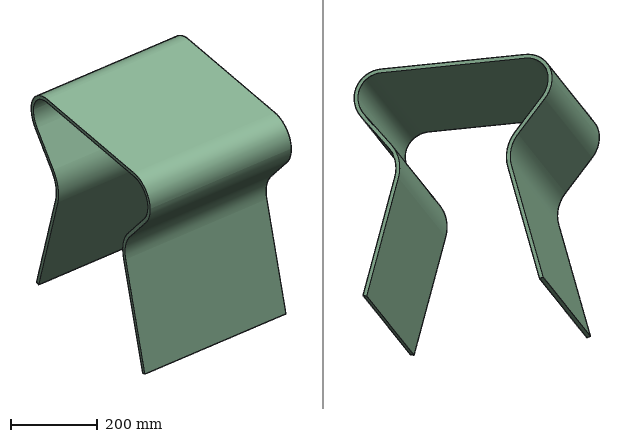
import cadquery as cq
import math

width = 476.0
depth = 400.0
height = 558.0
thickness = 9.5

shoulder_radius = 65.0
underside_radius = 79.0
neck_radius = 86.0
slope_length = 104.0

slope_angle = math.radians(38.5)
leg_angle = math.radians(15)


def point_on_arc(center, radius, angle):
    """Point at an angle measured from +X towards +Z."""
    return (
        center[0] + radius * math.cos(angle),
        center[1] + radius * math.sin(angle),
    )


bend_height = height - shoulder_radius
shoulder_center = (width / 2 - shoulder_radius, bend_height)
underside_center = (width / 2 - underside_radius, bend_height)
slope_top = point_on_arc(underside_center, underside_radius, -slope_angle)
slope_bottom = (
    slope_top[0] - slope_length * math.sin(slope_angle),
    slope_top[1] - slope_length * math.cos(slope_angle),
)
neck_center = point_on_arc(slope_bottom, neck_radius, -slope_angle)

foot_rise = thickness * math.sin(leg_angle)
leg_top_height = neck_center[1] - neck_radius * math.sin(leg_angle)
leg_length = (leg_top_height - foot_rise) / math.cos(leg_angle)


def face_points(inset):
    """Points along the +X half of a sheet face, from the seat to the foot."""
    shoulder = shoulder_radius - inset
    underside = underside_radius - inset
    neck = neck_radius + inset
    leg_top = point_on_arc(neck_center, neck, math.pi + leg_angle)
    return [
        point_on_arc(shoulder_center, shoulder, math.pi / 2),
        point_on_arc(shoulder_center, shoulder, math.pi / 4),
        point_on_arc(shoulder_center, shoulder, 0),
        point_on_arc(underside_center, underside, -slope_angle / 2),
        point_on_arc(underside_center, underside, -slope_angle),
        point_on_arc(neck_center, neck, math.pi - slope_angle),
        point_on_arc(neck_center, neck, math.pi + (leg_angle - slope_angle) / 2),
        leg_top,
        (
            leg_top[0] + leg_length * math.sin(leg_angle),
            leg_top[1] - leg_length * math.cos(leg_angle),
        ),
    ]


def mirrored(points):
    return [(-x, z) for x, z in points]


def trace_down(sketch, points):
    """Draw a face from its seat edge, the current point, to its foot."""
    _, shoulder_mid, side, underside_mid, slope_start, slope_end, neck_mid, leg_top, foot = points
    return (
        sketch.threePointArc(shoulder_mid, side)
        .threePointArc(underside_mid, slope_start)
        .lineTo(*slope_end)
        .threePointArc(neck_mid, leg_top)
        .lineTo(*foot)
    )


def trace_up(sketch, points):
    """Draw a face from its foot, the current point, to its seat edge."""
    seat, shoulder_mid, side, underside_mid, slope_start, slope_end, neck_mid, leg_top, _ = points
    return (
        sketch.lineTo(*leg_top)
        .threePointArc(neck_mid, slope_end)
        .lineTo(*slope_start)
        .threePointArc(underside_mid, side)
        .threePointArc(shoulder_mid, seat)
    )


outer = face_points(0)
inner = face_points(thickness)
outer_left = mirrored(outer)
inner_left = mirrored(inner)

section = cq.Workplane("XZ").moveTo(*outer_left[0]).lineTo(*outer[0])
section = trace_down(section, outer).lineTo(*inner[-1])
section = trace_up(section, inner).lineTo(*inner_left[0])
section = trace_down(section, inner_left).lineTo(*outer_left[-1])
section = trace_up(section, outer_left).close()

result = section.extrude(depth / 2, both=True)